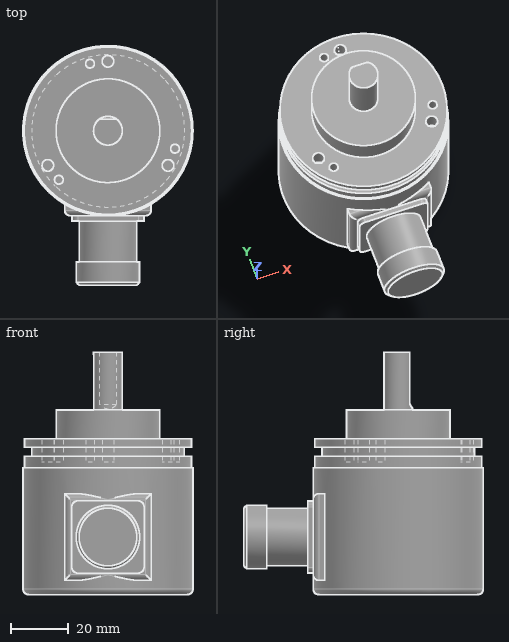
import cadquery as cq

body_radius = 29.5
flange_radius = 29.0
groove_radius = 26.5
hub_radius = 18.0
shaft_diameter = 10.0
shaft_radius = shaft_diameter / 2
total_height = 84
hub_top = 64.0
flange_top = 54.0
groove_top = 51.0
groove_bottom = 48.0
body_top = 44.0
body_bottom_fillet = 2.0

flat_offset = 4.0
runout_clearance = 0.4
runout_height = 1.6
runout_bottom = hub_top + runout_clearance
flat_bottom = runout_bottom + runout_height

hole_circle_radius = 24.0
hole_depth = 8.0
large_hole_diameter = 4.0
small_hole_diameter = 3.0
large_hole_start_angle = 90
small_hole_start_angle = 105
hole_count = 3

connector_height = 20.0
pad_size = 30.0
pad_face = body_radius
pad_fillet = 2.0
plate_size = 25.0
plate_face = 31.3
plate_corner_radius = 2.1
barrel_radius = 10.0
collar_radius = 11.0
collar_start = 45.45
total_depth = 83.0
connector_end = total_depth - body_radius
collar_chamfer = 1.0


def disc(radius, bottom, top):
    """Cylinder about Z between two heights."""
    return cq.Workplane("XY").workplane(offset=bottom).circle(radius).extrude(top - bottom)


def connector_plane(distance):
    """Plane facing -Y, centred on the connector axis at a distance from the body axis."""
    return cq.Workplane("XZ", origin=(0, -distance, connector_height))


def make_housing():
    body = disc(body_radius, 0, body_top).faces("<Z").edges().fillet(body_bottom_fillet)
    steps = [
        (flange_radius, body_top, groove_bottom),
        (groove_radius, groove_bottom, groove_top),
        (flange_radius, groove_top, flange_top),
        (hub_radius, flange_top, hub_top),
    ]
    for radius, bottom, top in steps:
        body = body.union(disc(radius, bottom, top))
    return body


def make_shaft():
    shaft = disc(shaft_radius, hub_top, total_height)
    flat_cut = (
        cq.Workplane("YZ")
        .moveTo(shaft_radius, runout_bottom)
        .lineTo(flat_offset, flat_bottom)
        .lineTo(flat_offset, total_height)
        .lineTo(shaft_radius, total_height)
        .close()
        .extrude(shaft_radius, both=True)
    )
    return shaft.cut(flat_cut)


def make_connector():
    pad = connector_plane(0).rect(pad_size, pad_size).extrude(pad_face)
    pad = pad.faces("<Y").edges().fillet(pad_fillet)
    plate = connector_plane(0).rect(plate_size, plate_size).extrude(plate_face)
    plate = plate.edges("|Y").fillet(plate_corner_radius)
    barrel = connector_plane(0).circle(barrel_radius).extrude(collar_start)
    collar = connector_plane(collar_start).circle(collar_radius).extrude(connector_end - collar_start)
    collar = collar.faces("<Y").edges().chamfer(collar_chamfer)
    return pad.union(plate).union(barrel).union(collar)


def make_holes(diameter, start_angle):
    return (
        cq.Workplane("XY", origin=(0, 0, flange_top))
        .polarArray(hole_circle_radius, start_angle, 360, hole_count)
        .circle(diameter / 2)
        .extrude(-hole_depth)
    )


result = make_housing().union(make_shaft()).union(make_connector())
result = result.cut(make_holes(large_hole_diameter, large_hole_start_angle))
result = result.cut(make_holes(small_hole_diameter, small_hole_start_angle))